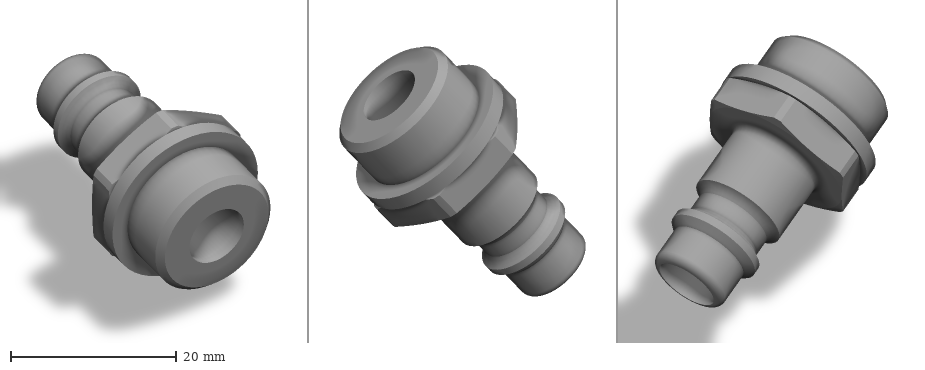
import cadquery as cq
import math

flange_start = 20.0
flange_end = 24.1
washer_thickness = 2.0
overall_length = 33.1

bore_diameter = 7.85
tip_diameter = 10.0
tip_round = 1.0
body_diameter = 12.0
groove_diameter = 9.75
collar_start = 5.0
groove_start = 7.0
groove_end = 11.5
groove_front_arc = 2.5
groove_back_arc = 2.0
flange_fillet = 0.75

hex_across_flats = 19.0
hex_corner_diameter = 21.4
hex_chamfer_angle = 15.0

thread_diameter = 16.66
thread_chamfer = 0.85
washer_diameter = 21.0

bore_radius = bore_diameter / 2
tip_radius = tip_diameter / 2
body_radius = body_diameter / 2
groove_radius = groove_diameter / 2
thread_radius = thread_diameter / 2


def revolve_about_x(profile):
    return profile.close().revolve(360, (0, 0, 0), (1, 0, 0))


def make_plug():
    """Stepped plug with a latch groove, ending on a fillet against the flange."""
    collar_rise = body_radius - tip_radius
    groove_depth = body_radius - groove_radius
    profile = (
        cq.Workplane("XY")
        .moveTo(0, 0)
        .lineTo(0, tip_radius - tip_round)
        .radiusArc((tip_round, tip_radius), tip_round)
        .lineTo(collar_start, tip_radius)
        .lineTo(collar_start + collar_rise, body_radius)
        .lineTo(groove_start, body_radius)
        .radiusArc((groove_start + groove_depth, groove_radius), -groove_front_arc)
        .lineTo(groove_end - groove_depth, groove_radius)
        .radiusArc((groove_end, body_radius), -groove_back_arc)
        .lineTo(flange_start - flange_fillet, body_radius)
        .radiusArc((flange_start, body_radius + flange_fillet), -flange_fillet)
        .lineTo(flange_start, 0)
    )
    return revolve_about_x(profile)


def make_hex_flange():
    """Hexagon with corners up and down, its corners turned off and chamfered on both faces."""
    flat_radius = hex_across_flats / 2
    corner_radius = hex_corner_diameter / 2
    chamfer_depth = (corner_radius - flat_radius) * math.tan(math.radians(hex_chamfer_angle))
    hexagon = (
        cq.Workplane("YZ", origin=(flange_start, 0, 0))
        .polygon(6, hex_across_flats, circumscribed=True)
        .extrude(flange_end - flange_start)
    )
    turned_envelope = revolve_about_x(
        cq.Workplane("XY")
        .moveTo(flange_start, 0)
        .lineTo(flange_start, flat_radius)
        .lineTo(flange_start + chamfer_depth, corner_radius)
        .lineTo(flange_end - chamfer_depth, corner_radius)
        .lineTo(flange_end, flat_radius)
        .lineTo(flange_end, 0)
    )
    return hexagon.intersect(turned_envelope)


def make_threaded_end():
    """Plain cylinder for the thread, chamfered at its open end."""
    return (
        cq.Workplane("YZ", origin=(flange_end, 0, 0))
        .circle(thread_radius)
        .extrude(overall_length - flange_end)
        .faces(">X")
        .chamfer(thread_chamfer)
    )


def make_fitting():
    bore = cq.Workplane("YZ").circle(bore_radius).extrude(overall_length)
    return make_plug().union(make_hex_flange()).union(make_threaded_end()).cut(bore)


def make_washer():
    """Flat sealing ring that sits on the thread, against the flange."""
    return (
        cq.Workplane("YZ", origin=(flange_end, 0, 0))
        .circle(washer_diameter / 2)
        .circle(thread_radius)
        .extrude(washer_thickness)
    )


fitting = make_fitting()
washer = make_washer()

result = cq.Compound.makeCompound([fitting.val(), washer.val()])